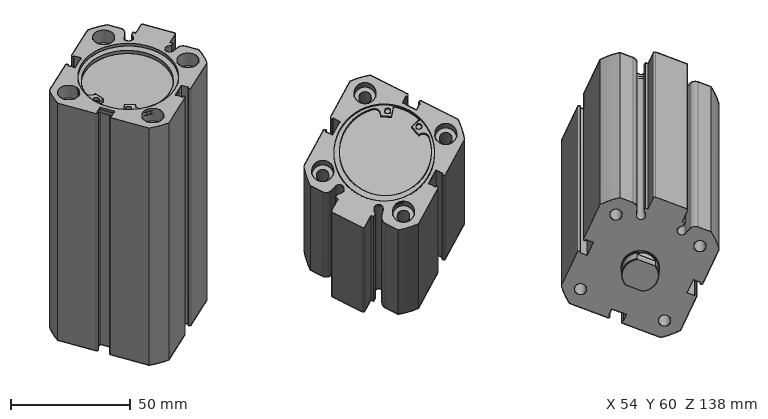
import cadquery as cq
import math

BODY_LENGTH = 131.0
BODY_HALF = 27.0
CORNER_RADIUS = 34.0
RAIL_TOP = 33.0

RAIL_HALF = 7.75
RAIL_FILLET = 0.8
LIP_HALF = 9.0
LIP_TOP = 26.7
GROOVE_X = 9.25
GROOVE_Y = 22.7
GROOVE_RADIUS = 1.95
GROOVE_MOUTH_X = 12.6
GROOVE_MOUTH_FILLET = 3.0

SLOT_HALF = 3.3
SLOT_DEPTH = 4.4
MOUTH_HALF = 2.65
MOUTH_LENGTH = 1.1

BOLT_PITCH = 38.0
BOLT_HOLE_DIAMETER = 5.2
COUNTERBORE_DIAMETER = 9.2
COUNTERBORE_DEPTH = 7.0

BORE_RADIUS = 21.0
RING_DEPTH = 1.5
RING_THICKNESS = 1.75
RING_GROOVE_RADIUS = 22.35
RING_OUTER_RADIUS = 22.25
RING_INNER_RADIUS = 19.2
RING_INNER_OFFSET = -1.05
LUG_ANGLE = 23.2
LUG_GAP_ANGLE = 17.0
LUG_BACK_ANGLE = 33.0
LUG_INNER_DISTANCE = 16.2
LUG_FILLET = 2.5
LUG_HOLE_RADIUS = 1.25
LUG_HOLE_DISTANCE = 18.55
COVER_THICKNESS = 10.0

ROD_PROTRUSION = 7.0
ROD_RADIUS = 8.0
ROD_END_RADIUS = 7.75
ROD_SHOULDER = 1.2
ROD_FLAT_HALF = 6.5
ROD_TIP_BEVEL_LENGTH = 0.5
ROD_TIP_BEVEL_DEPTH = 0.2

RING_TOP_Z = BODY_LENGTH - RING_DEPTH
COVER_TOP_Z = RING_TOP_Z - RING_THICKNESS
COVER_BOTTOM_Z = COVER_TOP_Z - COVER_THICKNESS


def disc(radius, bottom, top):
    return cq.Workplane("XY", origin=(0, 0, bottom)).circle(radius).extrude(top - bottom)


def from_minus_y(angle, distance):
    """Point at a distance from the axis, at an angle from -Y toward -X."""
    turn = math.radians(angle)
    return (-distance * math.sin(turn), -distance * math.cos(turn))


def rail_groove():
    """Cutter for the -X groove beside the rail, including the space beside the rail."""
    beyond = RAIL_TOP + 1
    tangent_x = GROOVE_X - GROOVE_RADIUS / math.sqrt(2)
    tangent_y = GROOVE_Y + GROOVE_RADIUS / math.sqrt(2)
    lip_bottom = tangent_y + LIP_HALF - tangent_x
    return (
        cq.Workplane("XY")
        .moveTo(-GROOVE_MOUTH_X, BODY_HALF)
        .lineTo(-GROOVE_X - GROOVE_RADIUS, GROOVE_Y)
        .threePointArc((-GROOVE_X, GROOVE_Y - GROOVE_RADIUS), (-tangent_x, tangent_y))
        .lineTo(-LIP_HALF, lip_bottom)
        .lineTo(-LIP_HALF, LIP_TOP)
        .lineTo(-RAIL_HALF, LIP_TOP)
        .lineTo(-RAIL_HALF, beyond)
        .lineTo(-GROOVE_MOUTH_X, beyond)
        .close()
        .extrude(BODY_LENGTH)
    )


def face_slot(angle):
    """Cutter for one slot, drawn on the -Y face with rounded mouth edges, then turned."""
    rounding = SLOT_HALF - MOUTH_HALF
    lip_start = -BODY_HALF + rounding
    lip_end = -BODY_HALF + MOUTH_LENGTH
    floor = -BODY_HALF + SLOT_DEPTH
    arc_inset = rounding * (1 - 1 / math.sqrt(2))
    arc_x = MOUTH_HALF + arc_inset
    arc_y = -BODY_HALF + arc_inset
    slot = (
        cq.Workplane("XY")
        .moveTo(-SLOT_HALF, -BODY_HALF)
        .lineTo(SLOT_HALF, -BODY_HALF)
        .threePointArc((arc_x, arc_y), (MOUTH_HALF, lip_start))
        .lineTo(MOUTH_HALF, lip_end)
        .lineTo(SLOT_HALF, lip_end)
        .lineTo(SLOT_HALF, floor)
        .lineTo(-SLOT_HALF, floor)
        .lineTo(-SLOT_HALF, lip_end)
        .lineTo(-MOUTH_HALF, lip_end)
        .lineTo(-MOUTH_HALF, lip_start)
        .threePointArc((-arc_x, arc_y), (-SLOT_HALF, -BODY_HALF))
        .close()
        .extrude(BODY_LENGTH)
    )
    return slot.rotate((0, 0, 0), (0, 0, 1), angle)


def make_housing():
    side = 2 * BODY_HALF
    body = cq.Workplane("XY").rect(side, side).extrude(BODY_LENGTH)
    body = body.intersect(disc(CORNER_RADIUS, 0, BODY_LENGTH))
    rail = (
        cq.Workplane("XY")
        .center(0, (RAIL_TOP + LIP_TOP) / 2)
        .rect(2 * RAIL_HALF, RAIL_TOP - LIP_TOP)
        .extrude(BODY_LENGTH)
        .edges("|Z and >Y")
        .fillet(RAIL_FILLET)
    )
    body = body.union(rail)
    groove = rail_groove()
    body = body.cut(groove).cut(groove.mirror("YZ"))
    for x in (-GROOVE_MOUTH_X, GROOVE_MOUTH_X):
        edge = cq.selectors.NearestToPointSelector((x, BODY_HALF, BODY_LENGTH / 2))
        body = body.edges(edge).fillet(GROOVE_MOUTH_FILLET)
    for angle in (0, 90, -90):
        body = body.cut(face_slot(angle))
    body = (
        body.faces(">Z")
        .workplane(origin=(0, 0, BODY_LENGTH))
        .rect(BOLT_PITCH, BOLT_PITCH, forConstruction=True)
        .vertices()
        .cboreHole(BOLT_HOLE_DIAMETER, COUNTERBORE_DIAMETER, COUNTERBORE_DEPTH)
    )
    body = body.cut(disc(BORE_RADIUS, COVER_BOTTOM_Z, BODY_LENGTH))
    body = body.cut(disc(RING_GROOVE_RADIUS, COVER_TOP_Z, RING_TOP_Z))
    return body.cut(disc(ROD_RADIUS, 0, COVER_BOTTOM_Z))


def sector(angle_1, angle_2):
    """Wedge of the ring's height between two angles from -Y toward -X."""
    reach = 2 * RING_OUTER_RADIUS
    return (
        cq.Workplane("XY", origin=(0, 0, COVER_TOP_Z))
        .polyline([(0, 0), from_minus_y(angle_1, reach), from_minus_y(angle_2, reach)])
        .close()
        .extrude(RING_THICKNESS)
    )


def ring_lug():
    """The -X lug: a wedge whose inner side is square to the line through the lug hole."""
    inner_side = (
        cq.Workplane("XY", origin=(0, 0, COVER_TOP_Z))
        .center(0, -LUG_INNER_DISTANCE - RING_OUTER_RADIUS / 2)
        .rect(2 * RING_OUTER_RADIUS, RING_OUTER_RADIUS)
        .extrude(RING_THICKNESS)
        .rotate((0, 0, 0), (0, 0, 1), -LUG_ANGLE)
    )
    blank = disc(RING_OUTER_RADIUS, COVER_TOP_Z, RING_TOP_Z)
    return sector(LUG_GAP_ANGLE, LUG_BACK_ANGLE).intersect(inner_side).intersect(blank)


def make_ring():
    opening = disc(RING_INNER_RADIUS, COVER_TOP_Z, RING_TOP_Z).translate((0, RING_INNER_OFFSET, 0))
    ring = disc(RING_OUTER_RADIUS, COVER_TOP_Z, RING_TOP_Z).cut(opening)
    ring = ring.cut(sector(-LUG_GAP_ANGLE, LUG_GAP_ANGLE))
    lug = ring_lug()
    ring = ring.union(lug).union(lug.mirror("YZ"))
    root_x, root_y = from_minus_y(LUG_BACK_ANGLE, RING_INNER_RADIUS - RING_INNER_OFFSET)
    for x in (root_x, -root_x):
        root = cq.selectors.NearestToPointSelector((x, root_y, COVER_TOP_Z + RING_THICKNESS / 2))
        ring = ring.edges("|Z").edges(root).fillet(LUG_FILLET)
    hole_x, hole_y = from_minus_y(LUG_ANGLE, LUG_HOLE_DISTANCE)
    for x in (hole_x, -hole_x):
        ring = ring.cut(disc(LUG_HOLE_RADIUS, COVER_TOP_Z, RING_TOP_Z).translate((x, hole_y, 0)))
    return ring


def make_head_cover():
    return disc(BORE_RADIUS, COVER_BOTTOM_Z, COVER_TOP_Z)


def make_rod():
    rod = disc(ROD_RADIUS, -ROD_SHOULDER, COVER_BOTTOM_Z)
    tip_radius = ROD_END_RADIUS - ROD_TIP_BEVEL_DEPTH
    end_profile = [
        (0, -ROD_SHOULDER),
        (ROD_END_RADIUS, -ROD_SHOULDER),
        (ROD_END_RADIUS, -ROD_PROTRUSION + ROD_TIP_BEVEL_LENGTH),
        (tip_radius, -ROD_PROTRUSION),
        (0, -ROD_PROTRUSION),
    ]
    end = cq.Workplane("XZ").polyline(end_profile).close().revolve(360, (0, 0), (0, 1))
    runout = ROD_END_RADIUS - ROD_FLAT_HALF
    half_section = [
        (ROD_FLAT_HALF, -ROD_PROTRUSION),
        (ROD_FLAT_HALF, -ROD_SHOULDER - runout),
        (ROD_END_RADIUS, -ROD_SHOULDER),
    ]
    section = half_section + [(-y, z) for y, z in reversed(half_section)]
    flats = cq.Workplane("YZ").polyline(section).close().extrude(ROD_END_RADIUS, both=True)
    return rod.union(end.intersect(flats))


housing = make_housing()
retaining_ring = make_ring()
head_cover = make_head_cover()
rod = make_rod()

result = cq.Compound.makeCompound([housing.val(), retaining_ring.val(), head_cover.val(), rod.val()])